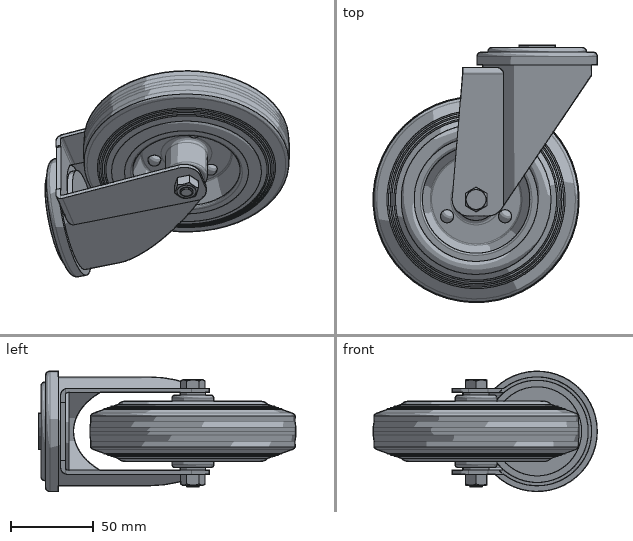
import cadquery as cq
import math


overall_length = 156.0
wheel_diameter = 125.0
swivel_offset = 37.0

head_diameter = 73.0
crown_diameter = 59.9
button_diameter = 22.0
button_thickness = 1.4
crown_thickness = 2.8
flange_thickness = 7.8
head_rounding = 2.7

tube_diameter = 66.0
bore_diameter = 62.0
bore_recess = 1.0
race_diameter = 54.0
race_thickness = 3.3
tube_collar = 1.4
web_thickness = 2.8
leg_thickness = 2.5
fork_outer_width = 52.1
bend_radius = 4.2
tip_radius = 10.0
web_edge_x = -8.1
tip_edge_x = -14.5
slope_start_x = 70.0
slope_start_level = 75.3
slope_angle = 56.0
web_notch_depth = 1.2
web_notch_width = 35.3

bolt_diameter = 8.0
bolt_tip_diameter = 6.7
hex_across_flats = 13.0
bolt_head_height = 5.3
bolt_head_face_diameter = 12.0
nut_height = 6.9
nut_face_diameter = 11.5
thread_overhang = 1.0
hex_chamfer_angle = 30.0

spacer_diameter = 15.5
hub_diameter = 25.5
hub_half_length = 22.0
hub_rounding = 1.9
hub_root_radius = 2.7
disc_half_thickness = 1.5
floor_radius = 27.0
wall_foot = (27.8, 2.2)
wall_top = (32.53, 14.8)
lip_rounding = 1.33
bead_start_radius = 37.52
flange_height = 17.2
bead_crest = (41.5, 18.3)
bead_end = (45.4, 16.4)
shoulder = (60.2, 11.0)
tread_edge_height = 9.4
tread_edge_radius = 62.1
tread_groove_height = 6.1
tread_band_height = 2.3
tread_groove_radius = 62.0
rib_inner_radii = (48.8, 51.0, 53.0)
rib_width = 1.0
rib_rise = 0.3
rivet_diameter = 8.0
rivet_count = 3
rivet_circle_radius = 20.3
first_rivet_angle = 90.0

wheel_radius = wheel_diameter / 2
head_top_level = overall_length - wheel_radius
crown_top_level = head_top_level - button_thickness
flange_top_level = crown_top_level - crown_thickness
head_base_level = flange_top_level - flange_thickness
web_top_level = head_base_level - tube_collar
web_base_level = web_top_level - web_thickness
bore_floor_level = web_base_level + bore_recess
race_base_level = bore_floor_level - race_thickness
leg_outer_height = fork_outer_width / 2
leg_inner_height = leg_outer_height - leg_thickness


def swivel_disc(diameter, top_level, base_level):
    """Disc around the swivel axis between two levels."""
    disc = cq.Workplane("XZ", origin=(swivel_offset, top_level, 0))
    return disc.circle(diameter / 2).extrude(top_level - base_level)


def wheel_axis_cylinder(diameter, base_height, top_height):
    """Cylinder around the wheel axis between two heights."""
    cylinder = cq.Workplane("XY", origin=(0, 0, base_height))
    return cylinder.circle(diameter / 2).extrude(top_height - base_height)


def make_head():
    flange = swivel_disc(head_diameter, flange_top_level, head_base_level)
    crown = swivel_disc(crown_diameter, crown_top_level, flange_top_level)
    button = swivel_disc(button_diameter, head_top_level, crown_top_level)
    head = flange.faces(">Y").edges().fillet(head_rounding)
    head = head.union(crown.faces(">Y").edges().fillet(head_rounding))
    return head.union(button)


def slope_x(level):
    """X of the sloping cut at a level."""
    return slope_start_x - (slope_start_level - level) / math.tan(math.radians(slope_angle))


def make_channel():
    """Bent sheet: a web under the head and two tapering legs with rounded tips."""
    rear_lean = (web_edge_x - tip_edge_x) / web_base_level
    tip_level = -tip_radius
    outline = [
        (web_edge_x, web_top_level),
        (web_edge_x, web_base_level),
        (tip_edge_x + rear_lean * tip_level, tip_level),
        (slope_x(tip_level), tip_level),
        (slope_x(web_base_level), web_base_level),
        (slope_x(web_base_level), web_top_level),
    ]
    block = cq.Workplane("XY", origin=(0, 0, -leg_outer_height)).polyline(outline).close()
    block = block.extrude(fork_outer_width)
    block = block.edges("|Z and <Y").fillet(tip_radius)
    return block.edges("|X").edges(">Y").fillet(bend_radius)


def make_window():
    """Space between the legs, with rounded corners under the web."""
    depth = web_base_level + wheel_radius
    length = swivel_offset + wheel_radius
    window = cq.Workplane("XY").box(length, depth, 2 * leg_inner_height)
    window = window.translate((swivel_offset - length / 2, web_base_level - depth / 2, 0))
    return window.edges("|X and >Y").fillet(bend_radius - leg_thickness)


def make_tube():
    """Tube around the swivel axis, cut off along the sloping line."""
    tube = swivel_disc(tube_diameter, head_base_level, -tip_radius)
    keep = [
        (slope_x(-tip_radius), -tip_radius),
        (slope_x(head_base_level), head_base_level),
        (swivel_offset - tube_diameter, head_base_level),
        (swivel_offset - tube_diameter, -tip_radius),
    ]
    side = cq.Workplane("XY", origin=(0, 0, -tube_diameter / 2)).polyline(keep).close()
    return tube.intersect(side.extrude(tube_diameter))


def make_fork():
    front_limit = cq.Workplane("XY").box(wheel_diameter, 2 * overall_length, head_diameter)
    front_limit = front_limit.translate((swivel_offset - wheel_diameter / 2, 0, 0))
    fork = make_channel().intersect(front_limit).union(make_tube())
    fork = fork.cut(make_window())
    fork = fork.cut(swivel_disc(bore_diameter, bore_floor_level, -wheel_radius))
    fork = fork.union(swivel_disc(race_diameter, bore_floor_level, race_base_level))
    notch = cq.Workplane("XY").box(2 * web_notch_depth, 2 * web_thickness, web_notch_width)
    fork = fork.cut(notch.translate((web_edge_x, web_top_level - web_thickness / 2, 0)))
    return fork.cut(wheel_axis_cylinder(bolt_diameter, -leg_outer_height, leg_outer_height))


def side_height(radius):
    """Height of the tyre's conical side at a radius."""
    slope = (shoulder[1] - bead_end[1]) / (shoulder[0] - bead_end[0])
    return bead_end[1] + slope * (radius - bead_end[0])


def make_half_wheel():
    """Upper half of the wheel, turned from one profile of (radius, height) points."""
    spacer_radius = spacer_diameter / 2
    hub_radius = hub_diameter / 2
    profile = cq.Workplane("XZ").moveTo(bolt_diameter / 2, 0)
    profile = profile.lineTo(bolt_diameter / 2, leg_inner_height)
    profile = profile.lineTo(spacer_radius, leg_inner_height)
    profile = profile.lineTo(spacer_radius, hub_half_length)
    profile = profile.lineTo(hub_radius - hub_rounding, hub_half_length)
    profile = profile.tangentArcPoint((hub_radius, hub_half_length - hub_rounding), relative=False)
    profile = profile.lineTo(hub_radius, disc_half_thickness + hub_root_radius)
    profile = profile.tangentArcPoint((hub_radius + hub_root_radius, disc_half_thickness), relative=False)
    profile = profile.lineTo(floor_radius, disc_half_thickness)
    profile = profile.tangentArcPoint(wall_foot, relative=False)
    profile = profile.lineTo(*wall_top)
    profile = profile.lineTo(wall_top[0], flange_height - lip_rounding)
    profile = profile.tangentArcPoint((wall_top[0] + lip_rounding, flange_height), relative=False)
    profile = profile.lineTo(bead_start_radius, flange_height)
    profile = profile.threePointArc(bead_crest, bead_end)
    for inner_radius in rib_inner_radii:
        outer_radius = inner_radius + rib_width
        crest_radius = (inner_radius + outer_radius) / 2
        crest = (crest_radius, side_height(crest_radius) + rib_rise)
        profile = profile.lineTo(inner_radius, side_height(inner_radius))
        profile = profile.threePointArc(crest, (outer_radius, side_height(outer_radius)))
    profile = profile.lineTo(*shoulder)
    profile = profile.tangentArcPoint((tread_edge_radius, tread_edge_height), relative=False)
    profile = profile.lineTo(tread_groove_radius, tread_groove_height)
    profile = profile.lineTo(wheel_radius, tread_band_height)
    profile = profile.lineTo(wheel_radius, 0).close()
    return profile.revolve(360, (0, 0), (0, 1))


def make_wheel():
    half = make_half_wheel()
    wheel = half.union(half.mirror("XY"))
    for index in range(rivet_count):
        angle = math.radians(first_rivet_angle + index * 360 / rivet_count)
        x = rivet_circle_radius * math.cos(angle)
        y = rivet_circle_radius * math.sin(angle)
        for side in (-1, 1):
            dome = cq.Workplane("XY").sphere(rivet_diameter / 2)
            wheel = wheel.union(dome.translate((x, y, side * disc_half_thickness)))
    return wheel


def make_hexagon(height, face_diameter):
    """Upright hexagon on Z = 0, with the corners of its top chamfered by a cone."""
    corner_diameter = hex_across_flats / math.cos(math.radians(30))
    hexagon = cq.Workplane("XY").polygon(6, corner_diameter).extrude(height)
    hexagon = hexagon.rotate((0, 0, 0), (0, 0, 1), 30)
    drop = (corner_diameter - face_diameter) / 2 * math.tan(math.radians(hex_chamfer_angle))
    cone = cq.Workplane("XZ").polyline([
        (0, 0),
        (corner_diameter / 2, 0),
        (corner_diameter / 2, height - drop),
        (face_diameter / 2, height),
        (0, height),
    ]).close().revolve(360, (0, 0), (0, 1))
    return hexagon.intersect(cone)


def make_bolt():
    tip_height = -(leg_outer_height + nut_height + thread_overhang)
    shank = wheel_axis_cylinder(bolt_diameter, tip_height, leg_outer_height)
    shank = shank.faces("<Z").edges().chamfer((bolt_diameter - bolt_tip_diameter) / 2)
    head = make_hexagon(bolt_head_height, bolt_head_face_diameter)
    return shank.union(head.translate((0, 0, leg_outer_height)))


def make_nut():
    nut = make_hexagon(nut_height, nut_face_diameter)
    nut = nut.cut(wheel_axis_cylinder(bolt_diameter, 0, nut_height))
    return nut.mirror("XY").translate((0, 0, -leg_outer_height))


head = make_head()
fork = make_fork()
wheel = make_wheel()
bolt = make_bolt()
nut = make_nut()

result = cq.Compound.makeCompound([head.val(), fork.val(), wheel.val(), bolt.val(), nut.val()])